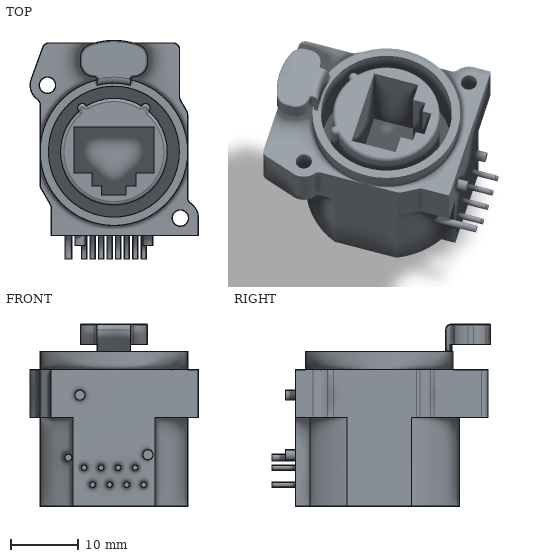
import cadquery as cq
import math


FLANGE_BOTTOM = -7.15
BODY_HALF_WIDTH = 11.0
BOARD_FACE_Y = -12.5
FLANGE_REAR_Y = 16.2
FLANGE_LEFT_NOTCH_X = -9.35
FLANGE_RIGHT_NOTCH_X = 9.8
LEFT_BEVEL_Y = -5.25
RIGHT_BEVEL_Y = 5.8
BEVEL_ANGLE = 60
REAR_SLANT_ANGLE = 70
CORNER_RADIUS = 1.0
SCREW_OFFSET = 9.9
SCREW_DIAMETER = 2.4
LEFT_LUG_RADIUS = 2.6
RIGHT_LUG_RADIUS = 2.7

HOUSING_BOTTOM = -20.35
HOUSING_RADIUS = 12.0
BOARD_BLOCK_HALF_WIDTH = 6.1

COLLAR_RADIUS = 11.0
COLLAR_BORE_RADIUS = 9.75
COLLAR_TOP = 2.73
INSERT_RADIUS = 7.95
INSERT_EDGE_RADIUS = 0.5
KEY_RADIUS = 0.7
KEY_CENTRE_RADIUS = 8.0
KEY_ANGLE = 36

PLUG_HALF_WIDTH = 5.95
PLUG_REAR_Y = 3.65
PLUG_FRONT_Y = -3.2
LATCH_HALF_WIDTH = 3.3
LATCH_FRONT_Y = -5.1
LATCH_TIP_HALF_WIDTH = 1.83
LATCH_TIP_Y = -6.45
PLUG_DEPTH = 14.0

TAB_TOP = 6.8
TAB_BOTTOM = 3.75
TAB_HALF_WIDTH = 5.0
TAB_REAR_Y = 16.59
TAB_CORNER_RADIUS = 2.05
TAB_REAR_CORNER_Y = 14.0
TAB_FRONT_CORNER_Y = 13.2
TAB_EDGE_RADIUS = 0.2
STEM_HALF_WIDTH = 2.5
STEM_INNER_RADIUS = 10.2
STEM_OUTER_RADIUS = 10.8
STEM_TOP_RADIUS = 0.9
CROWN_RADIUS = STEM_INNER_RADIUS + STEM_TOP_RADIUS

PEG_DIAMETER = 1.5
PEG_TIP_Y = -14.0
PEG_X = 5.07
UPPER_PEG_Z = -3.8
LOWER_PEG_Z = -12.67
PIN_TIP_Y = -16.0
PIN_PITCH = 2.54
PINS_PER_ROW = 4
PIN_DIAMETER = 0.8
UPPER_ROW_Z = -14.6
LOWER_ROW_Z = UPPER_ROW_Z - PIN_PITCH
SHIELD_PIN_DIAMETER = 1.03
SHIELD_PIN_X = -6.78
SHIELD_PIN_Z = -13.1
PIN_ROOT_Y = -9.0


def polar(radius, degrees):
    """Point at a radius and an angle measured from +X."""
    angle = math.radians(degrees)
    return (radius * math.cos(angle), radius * math.sin(angle))


def prism(sketch, bottom, top):
    """Extrude a closed XY outline between two heights."""
    return sketch.extrude(top - bottom).translate((0, 0, bottom))


def disc(radius, bottom, top, centre=(0, 0)):
    """Vertical cylinder between two heights."""
    return prism(cq.Workplane("XY").center(*centre).circle(radius), bottom, top)


def lug(side, radius):
    """Point functions for a screw lug arc and its concave blend, and the angle where they meet.

    The right lug (side = 1) has its hole at (SCREW_OFFSET, -SCREW_OFFSET); the left lug
    (side = -1) is turned half a turn about Z. The blend ends tangent to the body side.
    """
    blend_x = BODY_HALF_WIDTH + CORNER_RADIUS
    reach = radius + CORNER_RADIUS
    dx = blend_x - SCREW_OFFSET
    dy = math.sqrt(reach**2 - dx**2)
    leave_angle = math.degrees(math.atan2(dy, dx))
    blend_y = dy - SCREW_OFFSET

    def place(point):
        return (side * point[0], side * point[1])

    def on_lug(degrees):
        x, y = polar(radius, degrees)
        return place((SCREW_OFFSET + x, y - SCREW_OFFSET))

    def on_blend(degrees):
        x, y = polar(CORNER_RADIUS, degrees)
        return place((blend_x + x, blend_y + y))

    return on_lug, on_blend, leave_angle


def flange():
    """Plate with two screw lugs, bevelled sides and rounded corners."""
    bevel_slope = math.tan(math.radians(BEVEL_ANGLE))
    left_bevel_end_y = LEFT_BEVEL_Y - bevel_slope * (BODY_HALF_WIDTH + FLANGE_LEFT_NOTCH_X)
    right_bevel_end_y = RIGHT_BEVEL_Y + bevel_slope * (BODY_HALF_WIDTH - FLANGE_RIGHT_NOTCH_X)

    right_lug, right_blend, right_leave = lug(1, RIGHT_LUG_RADIUS)
    left_lug, left_blend, left_leave = lug(-1, LEFT_LUG_RADIUS)

    slant_lug_angle = REAR_SLANT_ANGLE - 90
    slant_start = left_lug(slant_lug_angle)
    slant_rise = FLANGE_REAR_Y - slant_start[1]
    slant_end_x = slant_start[0] + slant_rise / math.tan(math.radians(REAR_SLANT_ANGLE))

    outline = (
        cq.Workplane("XY")
        .moveTo(FLANGE_LEFT_NOTCH_X, BOARD_FACE_Y)
        .lineTo(SCREW_OFFSET + RIGHT_LUG_RADIUS, BOARD_FACE_Y)
        .lineTo(*right_lug(0))
        .threePointArc(right_lug(right_leave / 2), right_lug(right_leave))
        .threePointArc(right_blend(180 + right_leave / 2), right_blend(180))
        .lineTo(BODY_HALF_WIDTH, RIGHT_BEVEL_Y)
        .lineTo(FLANGE_RIGHT_NOTCH_X, right_bevel_end_y)
        .lineTo(FLANGE_RIGHT_NOTCH_X, FLANGE_REAR_Y)
        .lineTo(slant_end_x, FLANGE_REAR_Y)
        .lineTo(*slant_start)
        .threePointArc(left_lug((slant_lug_angle + left_leave) / 2), left_lug(left_leave))
        .threePointArc(left_blend(180 + left_leave / 2), left_blend(180))
        .lineTo(-BODY_HALF_WIDTH, LEFT_BEVEL_Y)
        .lineTo(FLANGE_LEFT_NOTCH_X, left_bevel_end_y)
        .close()
    )
    plate = prism(outline, FLANGE_BOTTOM, 0)

    rounded_corners = [
        (BODY_HALF_WIDTH, RIGHT_BEVEL_Y),
        (FLANGE_RIGHT_NOTCH_X, right_bevel_end_y),
        (FLANGE_RIGHT_NOTCH_X, FLANGE_REAR_Y),
        (slant_end_x, FLANGE_REAR_Y),
        (-BODY_HALF_WIDTH, LEFT_BEVEL_Y),
        (FLANGE_LEFT_NOTCH_X, left_bevel_end_y),
    ]
    for x, y in rounded_corners:
        corner = cq.selectors.NearestToPointSelector((x, y, FLANGE_BOTTOM / 2))
        plate = plate.edges(corner).fillet(CORNER_RADIUS)

    for side in (-1, 1):
        centre = (side * SCREW_OFFSET, -side * SCREW_OFFSET)
        plate = plate.cut(disc(SCREW_DIAMETER / 2, FLANGE_BOTTOM, 0, centre))
    return plate


def housing():
    """Round housing with flat sides, and a block reaching the board face."""
    width = 2 * BODY_HALF_WIDTH
    sides = prism(cq.Workplane("XY").rect(width, 2 * HOUSING_RADIUS), HOUSING_BOTTOM, FLANGE_BOTTOM)
    barrel = disc(HOUSING_RADIUS, HOUSING_BOTTOM, FLANGE_BOTTOM).intersect(sides)
    block_outline = (
        cq.Workplane("XY")
        .center(0, BOARD_FACE_Y / 2)
        .rect(2 * BOARD_BLOCK_HALF_WIDTH, -BOARD_FACE_Y)
    )
    return barrel.union(prism(block_outline, HOUSING_BOTTOM, FLANGE_BOTTOM))


def insert():
    """Round insert with two rib-like keys; its top edge is rounded."""
    core = disc(INSERT_RADIUS, FLANGE_BOTTOM, COLLAR_TOP)
    for side in (-1, 1):
        centre = polar(KEY_CENTRE_RADIUS, 90 + side * KEY_ANGLE)
        core = core.union(disc(KEY_RADIUS, FLANGE_BOTTOM, COLLAR_TOP, centre))
    return core.faces(">Z").edges().fillet(INSERT_EDGE_RADIUS)


def plug_opening():
    """Blind RJ45 opening, stepped towards the board side for the latch."""
    half_outline = [
        (PLUG_HALF_WIDTH, PLUG_REAR_Y),
        (PLUG_HALF_WIDTH, PLUG_FRONT_Y),
        (LATCH_HALF_WIDTH, PLUG_FRONT_Y),
        (LATCH_HALF_WIDTH, LATCH_FRONT_Y),
        (LATCH_TIP_HALF_WIDTH, LATCH_FRONT_Y),
        (LATCH_TIP_HALF_WIDTH, LATCH_TIP_Y),
    ]
    mirrored = [(-x, y) for x, y in reversed(half_outline)]
    outline = cq.Workplane("XY").polyline(half_outline + mirrored).close()
    return prism(outline, COLLAR_TOP - PLUG_DEPTH, COLLAR_TOP)


def stem_window(bottom):
    """Box as wide as the stem, from the axis back to the crown of its rounded top."""
    outline = (
        cq.Workplane("XY")
        .center(0, CROWN_RADIUS / 2)
        .rect(2 * STEM_HALF_WIDTH, CROWN_RADIUS)
    )
    return prism(outline, bottom, TAB_TOP)


def tab_head():
    """Flat oval thumb pad, narrowing to the stem through concave corners."""
    corner_x = TAB_HALF_WIDTH - TAB_CORNER_RADIUS
    shoulder_y = TAB_FRONT_CORNER_Y - TAB_CORNER_RADIUS
    neck_radius = corner_x - STEM_HALF_WIDTH
    neck_y = shoulder_y - neck_radius

    rise = TAB_REAR_Y - TAB_REAR_CORNER_Y
    spread = corner_x**2 + rise**2 - TAB_CORNER_RADIUS**2
    rear_radius = spread / (2 * (rise - TAB_CORNER_RADIUS))
    rear_angle = math.degrees(math.atan2(TAB_REAR_CORNER_Y - TAB_REAR_Y + rear_radius, corner_x))

    def rear_corner(side, degrees):
        x, y = polar(TAB_CORNER_RADIUS, degrees)
        return (side * (corner_x + x), TAB_REAR_CORNER_Y + y)

    def front_corner(side, degrees):
        x, y = polar(TAB_CORNER_RADIUS, degrees)
        return (side * (corner_x + x), TAB_FRONT_CORNER_Y + y)

    def neck(side, degrees):
        x, y = polar(neck_radius, degrees)
        return (side * (corner_x + x), neck_y + y)

    outline = (
        cq.Workplane("XY")
        .moveTo(*neck(1, 180))
        .threePointArc(neck(1, 135), neck(1, 90))
        .threePointArc(front_corner(1, -45), front_corner(1, 0))
        .lineTo(*rear_corner(1, 0))
        .threePointArc(rear_corner(1, rear_angle / 2), rear_corner(1, rear_angle))
        .threePointArc((0, TAB_REAR_Y), rear_corner(-1, rear_angle))
        .threePointArc(rear_corner(-1, rear_angle / 2), rear_corner(-1, 0))
        .lineTo(*front_corner(-1, 0))
        .threePointArc(front_corner(-1, -45), neck(-1, 90))
        .threePointArc(neck(-1, 135), neck(-1, 180))
        .close()
    )
    head = prism(outline, TAB_BOTTOM, TAB_TOP)
    head = head.faces(">Z").edges("not <Y").fillet(TAB_EDGE_RADIUS)

    stem_space = disc(CROWN_RADIUS, TAB_BOTTOM, TAB_TOP).intersect(stem_window(TAB_BOTTOM))
    return head.cut(stem_space)


def tab_stem():
    """Curved strip rising from the collar, rounded over into the thumb pad."""
    round_start_z = TAB_TOP - STEM_TOP_RADIUS
    round_x, round_z = polar(STEM_TOP_RADIUS, 135)
    profile = (
        cq.Workplane("XZ")
        .moveTo(STEM_INNER_RADIUS, 0)
        .lineTo(STEM_INNER_RADIUS, round_start_z)
        .threePointArc((CROWN_RADIUS + round_x, round_start_z + round_z), (CROWN_RADIUS, TAB_TOP))
        .lineTo(CROWN_RADIUS, TAB_BOTTOM)
        .lineTo(STEM_OUTER_RADIUS, TAB_BOTTOM)
        .lineTo(STEM_OUTER_RADIUS, 0)
        .close()
    )
    ring = profile.revolve(360, (0, 0, 0), (0, 1, 0))
    return ring.intersect(stem_window(0))


def board_pin(diameter, x, z, tip_y):
    """Round pin along -Y, rooted inside the housing."""
    pin = cq.Workplane("XZ").center(x, z).circle(diameter / 2).extrude(PIN_ROOT_Y - tip_y)
    return pin.translate((0, PIN_ROOT_Y, 0))


def contact_row(centre_x, z):
    """Evenly pitched contact pins at one height."""
    row = cq.Workplane("XY")
    for index in range(PINS_PER_ROW):
        x = centre_x + (index - (PINS_PER_ROW - 1) / 2) * PIN_PITCH
        row = row.add(board_pin(PIN_DIAMETER, x, z, PIN_TIP_Y))
    return row.combine()


collar = disc(COLLAR_RADIUS, 0, COLLAR_TOP)
collar_bore = disc(COLLAR_BORE_RADIUS, FLANGE_BOTTOM, COLLAR_TOP)

result = flange().union(collar).cut(collar_bore)
result = result.union(housing()).union(insert()).cut(plug_opening())
result = result.union(tab_stem()).union(tab_head())

result = result.union(board_pin(PEG_DIAMETER, -PEG_X, UPPER_PEG_Z, PEG_TIP_Y))
result = result.union(board_pin(PEG_DIAMETER, PEG_X, LOWER_PEG_Z, PEG_TIP_Y))
result = result.union(board_pin(SHIELD_PIN_DIAMETER, SHIELD_PIN_X, SHIELD_PIN_Z, PIN_TIP_Y))

result = result.union(contact_row(-PIN_PITCH / 4, UPPER_ROW_Z))
result = result.union(contact_row(PIN_PITCH / 4, LOWER_ROW_Z))